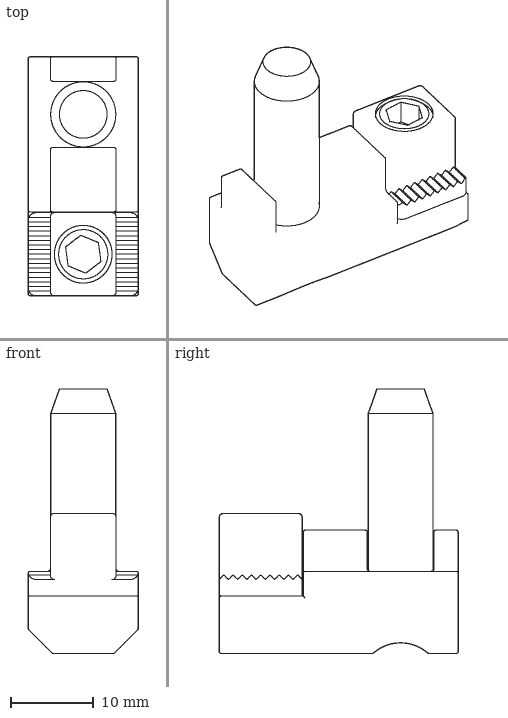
import cadquery as cq
import math


base_width = 13.4
base_length = 29.0
base_bevel = 3.0
floor_z = 7.0
shelf_z = 9.98
rib_top_z = 15.0
edge_radius = 0.3
jaw_gap = 0.1

pin_y = 22.0
pin_diameter = 7.9
pin_top_z = 32.1
pin_taper_height = 3.0
pin_tip_diameter = 5.78
rib_gap = 8.02
counterbore_diameter = 10.0
counterbore_depth = base_bevel

jaw_length = 10.08
jaw_top_z = 17.0
stem_width = 8.0
stem_radius = 0.5
flange_corner_radius = 1.0
tooth_root_z = 9.0
tooth_count = 9
tooth_pitch = jaw_length / tooth_count
tooth_height = tooth_pitch / 2

screw_diameter = 7.0
screw_chamfer = 0.5
hex_across_flats = 4.0
hex_turn = -22.5
hex_depth = 3.0
drill_point_angle = 120.0
drill_margin = 0.03

recess_length = jaw_length + jaw_gap
screw_y = jaw_length / 2


def y_block(width, y_start, y_end, z_start, z_end):
    """Box centred on X = 0 between two Y and two Z levels."""
    return cq.Workplane("XY").box(
        width, y_end - y_start, z_end - z_start, centered=(True, False, False)
    ).translate((0, y_start, z_start))


def upright_cylinder(diameter, y, z_start, z_end):
    return cq.Workplane("XY", origin=(0, y, z_start)).circle(diameter / 2).extrude(z_end - z_start)


def make_base():
    """Bevelled block with a front recess, two ribs and a bore for the pin."""
    half_width = base_width / 2
    half_bottom = half_width - base_bevel
    body = (
        cq.Workplane("XZ")
        .moveTo(-half_bottom, 0)
        .lineTo(half_bottom, 0)
        .lineTo(half_width, base_bevel)
        .lineTo(half_width, shelf_z)
        .lineTo(-half_width, shelf_z)
        .lineTo(-half_width, base_bevel)
        .close()
        .extrude(-base_length)
    )
    front_rib = y_block(stem_width, recess_length, pin_y - rib_gap / 2, floor_z, rib_top_z)
    rear_rib = y_block(stem_width, pin_y + rib_gap / 2, base_length, floor_z, rib_top_z)
    recess = y_block(base_width, 0, recess_length, floor_z, shelf_z)
    body = body.cut(recess).union(front_rib).union(rear_rib)

    inner_corner = cq.selectors.BoxSelector(
        (-base_width, recess_length - edge_radius, floor_z - edge_radius),
        (base_width, recess_length + edge_radius, floor_z + edge_radius),
    )
    body = body.edges(cq.selectors.InverseSelector(inner_corner)).fillet(edge_radius)

    bore = upright_cylinder(pin_diameter, pin_y, 0, rib_top_z)
    counterbore = upright_cylinder(counterbore_diameter, pin_y, 0, counterbore_depth)
    return body.cut(bore).cut(counterbore)


def make_pin():
    """Round pin with a tapered tip."""
    pin_radius = pin_diameter / 2
    return (
        cq.Workplane("XZ", origin=(0, pin_y, 0))
        .moveTo(0, counterbore_depth)
        .lineTo(pin_radius, counterbore_depth)
        .lineTo(pin_radius, pin_top_z - pin_taper_height)
        .lineTo(pin_tip_diameter / 2, pin_top_z)
        .lineTo(0, pin_top_z)
        .close()
        .revolve(360, (0, 0, 0), (0, 1, 0))
    )


def make_jaw():
    """T-shaped jaw: serrated flange, plain stem and a bore for the set screw."""
    outline = [(0, floor_z), (0, tooth_root_z)]
    for tooth in range(tooth_count):
        root_y = tooth * tooth_pitch
        outline.append((root_y + tooth_pitch / 2, tooth_root_z + tooth_height))
        outline.append((root_y + tooth_pitch, tooth_root_z))
    outline.append((jaw_length, floor_z))
    serrated_bar = cq.Workplane("YZ").polyline(outline).close().extrude(base_width / 2, both=True)
    rounded_plan = y_block(base_width, 0, jaw_length, floor_z, jaw_top_z).edges("|Z").fillet(
        flange_corner_radius
    )
    flange = serrated_bar.intersect(rounded_plan)

    upper_stem = y_block(stem_width, 0, jaw_length, tooth_root_z, jaw_top_z)
    upper_stem = upper_stem.edges("|Z or >Z").fillet(stem_radius)
    bore = upright_cylinder(screw_diameter, screw_y, floor_z, jaw_top_z)
    return flange.union(upper_stem).cut(bore)


def make_screw():
    """Set screw flush with the jaw top and resting on the recess floor, with a drilled hex socket."""
    body = upright_cylinder(screw_diameter, screw_y, floor_z, jaw_top_z)
    body = body.edges(">Z").chamfer(screw_chamfer)

    hex_corner_radius = hex_across_flats / 2 / math.cos(math.pi / 6)
    drill_radius = hex_corner_radius + drill_margin
    point_height = drill_radius / math.tan(math.radians(drill_point_angle / 2))
    hexagon = (
        cq.Workplane("XY", origin=(0, screw_y, jaw_top_z))
        .transformed(rotate=(0, 0, hex_turn))
        .polygon(6, 2 * hex_corner_radius)
        .extrude(-(hex_depth + point_height))
    )
    drill = (
        cq.Workplane("XZ", origin=(0, screw_y, jaw_top_z))
        .lineTo(drill_radius, 0)
        .lineTo(drill_radius, -hex_depth)
        .lineTo(0, -(hex_depth + point_height))
        .close()
        .revolve(360, (0, 0, 0), (0, 1, 0))
    )
    return body.cut(hexagon.intersect(drill))


base = make_base()
pin = make_pin()
jaw = make_jaw()
screw = make_screw()

result = cq.Compound.makeCompound([base.val(), pin.val(), jaw.val(), screw.val()])